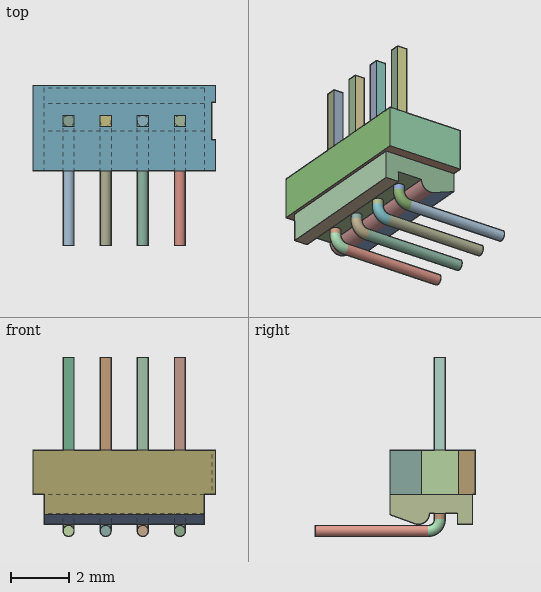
import cadquery as cq
import math


pin_count = 4
pitch = 1.27
pin_size = 0.381
post_height = 3.175
bend_radius = 0.4

block_length = 6.25
block_depth = 2.93
block_height = 1.51
block_back = 1.22
block_front = block_back - block_depth

notch_width = pitch
notch_depth = 0.127

base_inset = 0.381
base_length = block_length - 2 * base_inset
base_setback = 0.1
base_back = block_back - base_setback
base_bottom = -2.54
foot_depth = 0.52
nose_radius = 0.38
nose_slope = math.radians(20)
nose_center_y = -0.73
recess_ceiling = base_bottom + nose_radius

total_depth = 5.49
total_height = 6.13
tail_end = block_back - total_depth
tail_axis_z = post_height - total_height + pin_size / 2
bend_start_z = tail_axis_z + bend_radius


def make_block():
    """Upper block with the keying notch through its height."""
    block = (
        cq.Workplane("XY")
        .box(block_length, block_depth, block_height, centered=(True, False, False))
        .translate((0, block_front, -block_height))
    )
    notch = (
        cq.Workplane("XY")
        .box(2 * notch_depth, notch_width, block_height)
        .translate((block_length / 2, 0, -block_height / 2))
    )
    return block.cut(notch)


def make_base():
    """Base extruded along X: rear foot, open recess and rounded, sloping front nose."""
    tangent_y = nose_center_y - nose_radius * math.sin(nose_slope)
    tangent_z = recess_ceiling - nose_radius * math.cos(nose_slope)
    slope_top_z = tangent_z + (tangent_y - block_front) * math.tan(nose_slope)
    foot_front = base_back - foot_depth
    return (
        cq.Workplane("YZ")
        .moveTo(base_back, -block_height)
        .lineTo(base_back, base_bottom)
        .lineTo(foot_front, base_bottom)
        .lineTo(foot_front, recess_ceiling)
        .lineTo(nose_center_y + nose_radius, recess_ceiling)
        .threePointArc((nose_center_y, base_bottom), (tangent_y, tangent_z))
        .lineTo(block_front, slope_top_z)
        .lineTo(block_front, -block_height)
        .close()
        .extrude(base_length / 2, both=True)
    )


def make_post():
    """Square post standing on the top face."""
    return cq.Workplane("XY").rect(pin_size, pin_size).extrude(post_height)


def make_tail():
    """Round tail leaving the recess ceiling downward and bending forward to -Y."""
    bend_offset = bend_radius * (1 - math.cos(math.pi / 4))
    path = (
        cq.Workplane("YZ")
        .moveTo(0, recess_ceiling)
        .lineTo(0, bend_start_z)
        .threePointArc(
            (-bend_offset, tail_axis_z + bend_offset),
            (-bend_radius, tail_axis_z),
        )
        .lineTo(tail_end, tail_axis_z)
    )
    return (
        cq.Workplane("XY")
        .workplane(offset=recess_ceiling)
        .circle(pin_size / 2)
        .sweep(path)
    )


result = make_block().union(make_base())
post = make_post()
tail = make_tail()
for index in range(pin_count):
    pin_x = (index - (pin_count - 1) / 2) * pitch
    result = result.union(post.translate((pin_x, 0, 0)))
    result = result.union(tail.translate((pin_x, 0, 0)))